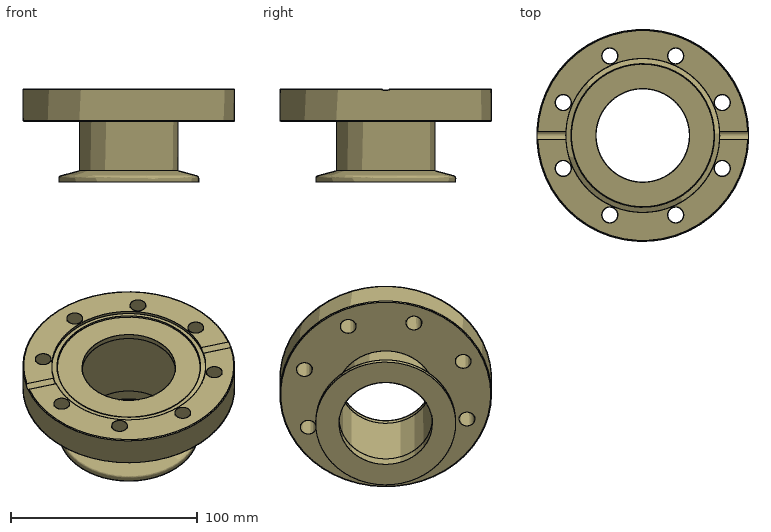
import cadquery as cq
import math

total_height = 50.0
bore_dia = 50.0
tube_outer_dia = 53.0

flange_dia = 113.5
flange_thickness = 17.5
flange_edge_chamfer = 0.5
tube_socket_roof = 4.3
bolt_count = 8
bolt_hole_dia = 8.4
bolt_circle_dia = 92.2

recess_dia = 82.5
knife_tip_dia = 77.0
knife_tip_depth = 0.6
knife_slope = 20.0
sealing_floor_dia = 76.4
sealing_floor_depth = 1.3

groove_radius = 3.0
groove_depth = 1.0

clamp_dia = 75.0
clamp_slope = 15.0
clamp_rim_height = 3.16
clamp_rim_fillet = 1.5

flange_bottom = total_height - flange_thickness
tube_top = total_height - tube_socket_roof
clamp_height = clamp_rim_height + (clamp_dia - tube_outer_dia) / 2 * math.tan(math.radians(clamp_slope))
recess_depth = knife_tip_depth + (recess_dia - knife_tip_dia) / 2 * math.tan(math.radians(knife_slope))


def cylinder(diameter, bottom, top):
    """Solid cylinder on the Z axis."""
    return cq.Workplane("XY").workplane(offset=bottom).circle(diameter / 2).extrude(top - bottom)


def ring(outer_dia, inner_dia, bottom, top):
    """Plain ring on the Z axis."""
    return cylinder(outer_dia, bottom, top).cut(cylinder(inner_dia, bottom, top))


def sealing_recess_cutter():
    """Revolved cutter that leaves the knife edge standing in the top face."""
    profile = [
        (0, total_height),
        (recess_dia / 2, total_height),
        (recess_dia / 2, total_height - recess_depth),
        (knife_tip_dia / 2, total_height - knife_tip_depth),
        (sealing_floor_dia / 2, total_height - sealing_floor_depth),
        (0, total_height - sealing_floor_depth),
    ]
    return cq.Workplane("XZ").polyline(profile).close().revolve(360, (0, 0, 0), (0, 1, 0))


def leak_check_groove_cutter():
    """Two rods along X that stop at the recess, clear of the knife edge."""
    rod = (
        cq.Workplane("YZ")
        .center(0, total_height - groove_depth + groove_radius)
        .circle(groove_radius)
        .extrude(flange_dia / 2, both=True)
    )
    clear_zone = cylinder(recess_dia, flange_bottom, total_height + groove_radius * 2)
    return rod.cut(clear_zone)


def build_bolted_flange():
    body = cylinder(flange_dia, flange_bottom, total_height).edges().chamfer(flange_edge_chamfer)
    body = body.cut(cylinder(bore_dia, flange_bottom, total_height))
    body = body.cut(cylinder(tube_outer_dia, flange_bottom, tube_top))
    body = body.cut(sealing_recess_cutter())
    body = body.cut(leak_check_groove_cutter())
    bolt_holes = (
        cq.Workplane("XY")
        .workplane(offset=flange_bottom)
        .polarArray(bolt_circle_dia / 2, 180 / bolt_count, 360, bolt_count)
        .circle(bolt_hole_dia / 2)
        .extrude(flange_thickness)
    )
    return body.cut(bolt_holes)


def build_tube():
    """Tube from the back of the clamp flange up into the socket of the bolted flange."""
    return ring(tube_outer_dia, bore_dia, clamp_height, tube_top)


def build_clamp_flange():
    """Flange with a sloping back face and a rounded rim."""
    profile = [
        (0, 0),
        (clamp_dia / 2, 0),
        (clamp_dia / 2, clamp_rim_height),
        (tube_outer_dia / 2, clamp_height),
        (0, clamp_height),
    ]
    body = cq.Workplane("XZ").polyline(profile).close().revolve(360, (0, 0, 0), (0, 1, 0))
    rim_corner = cq.selectors.BoxSelector(
        (-clamp_dia, -clamp_dia, clamp_rim_height / 2),
        (clamp_dia, clamp_dia, (clamp_rim_height + clamp_height) / 2),
        boundingbox=True,
    )
    body = body.edges(rim_corner).fillet(clamp_rim_fillet)
    return body.cut(cylinder(bore_dia, 0, clamp_height))


bolted_flange = build_bolted_flange()
tube = build_tube()
clamp_flange = build_clamp_flange()

result = cq.Compound.makeCompound([bolted_flange.val(), tube.val(), clamp_flange.val()])